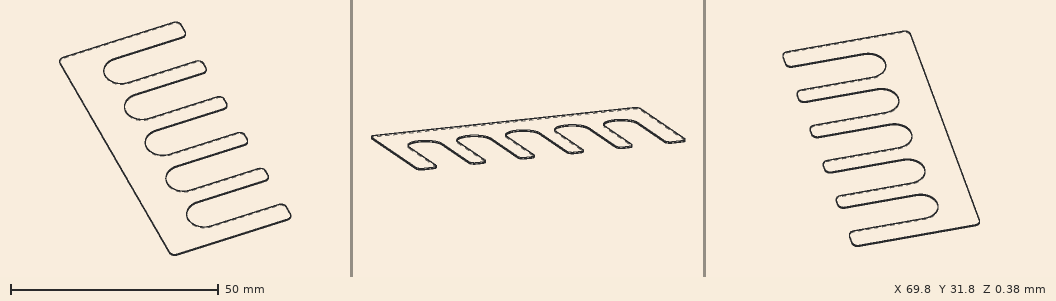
import cadquery as cq

length = 69.85
width = 31.8
thickness = 0.38
corner_radius = 1.4

slot_count = 5
slot_pitch = 12.7
slot_width = 8.5
slot_depth = 23.4
tooth_tip_radius = 1.4


def slot_cutter(center_x):
    """Straight slot with a full-round closed end."""
    radius = slot_width / 2
    open_y = width / 2
    arc_start_y = open_y - slot_depth + radius
    return (
        cq.Workplane("XY")
        .moveTo(center_x - radius, open_y)
        .lineTo(center_x - radius, arc_start_y)
        .threePointArc((center_x, arc_start_y - radius), (center_x + radius, arc_start_y))
        .lineTo(center_x + radius, open_y)
        .close()
        .extrude(thickness)
    )


plate = cq.Workplane("XY").box(length, width, thickness, centered=(True, True, False))

for index in range(slot_count):
    slot_x = (index - (slot_count - 1) / 2) * slot_pitch
    plate = plate.cut(slot_cutter(slot_x))

plate = plate.faces(">Y").edges("|Z").fillet(tooth_tip_radius)
result = plate.faces("<Y").edges("|Z").fillet(corner_radius)